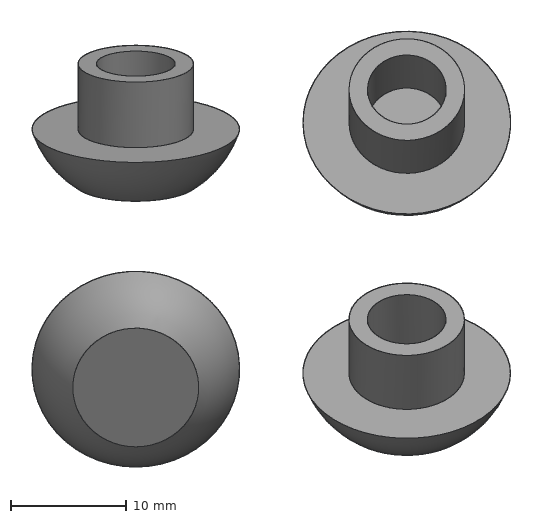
import cadquery as cq
import math

flange_diameter = 18.0
stem_diameter = 10.0
bore_diameter = 6.8
total_height = 10.75
stem_height = 6.0
base_diameter = 10.9
bore_depth = stem_height

head_height = total_height - stem_height
flange_radius = flange_diameter / 2
base_radius = base_diameter / 2

sphere_center_z = (flange_radius**2 + head_height**2 - base_radius**2) / (2 * head_height)
sphere_radius = math.hypot(base_radius, sphere_center_z)
dome_middle_z = head_height / 2
dome_middle_radius = math.sqrt(sphere_radius**2 - (sphere_center_z - dome_middle_z) ** 2)

head = (
    cq.Workplane("XZ")
    .lineTo(base_radius, 0)
    .threePointArc((dome_middle_radius, dome_middle_z), (flange_radius, head_height))
    .lineTo(0, head_height)
    .close()
    .revolve(360, (0, 0, 0), (0, 1, 0))
)

stem = cq.Workplane("XY").workplane(offset=head_height).circle(stem_diameter / 2).extrude(stem_height)

bore = cq.Workplane("XY").workplane(offset=total_height).circle(bore_diameter / 2).extrude(-bore_depth)

result = head.union(stem).cut(bore)